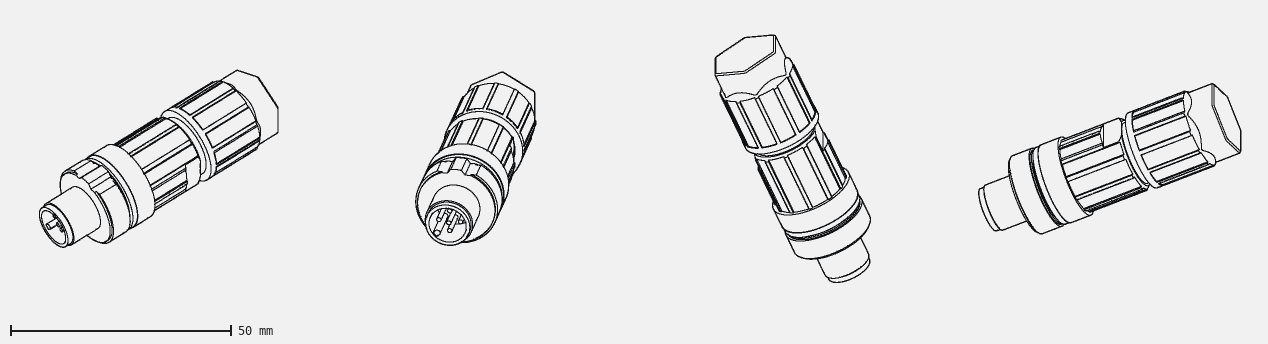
import cadquery as cq
import math

LENGTH = 60.0
OVERLAP = 0.6

TUBE_R = 5.5
TIP_R = 5.15
TIP_LENGTH = 1.45
BORE_R = 4.3
BORE_DEPTH = 9.0
PIN_R = 0.51
PIN_OFFSET = 2.5
PIN_RECESS = 2.2
CENTER_PIN_RECESS = 1.2
KEY_R = 0.65
KEY_RECESS = 0.6

NUT_DIAMETER = 19.0
NUT_R = NUT_DIAMETER / 2
NUT_LIP_R = 9.0
NUT_FRONT = 9.25
NUT_RIM_FRONT = 9.8
NUT_RIM_BACK = 14.7
NUT_BACK = 15.05
TOOTH_FLOOR = 8.35
TOOTH_TOP_WIDTH = 2.35
TOOTH_BASE_WIDTH = 4.15
NECK_R = 8.2
COLLAR_LIP_R = 9.35
COLLAR_LIP_FRONT = 15.6
COLLAR_FRONT = 16.9
COLLAR_BACK = 21.95

BODY_R = 8.8
BODY_BACK = 36.95
BODY_CHAMFER_LENGTH = 0.7
BODY_CHAMFER_DEPTH = 0.9
FLAT_ACROSS = 15.0
FLAT_FRONT_INNER = 32.45
FLAT_FRONT_OUTER = 32.0

CAP_NECK_R = 7.4
CAP_DIAMETER = 18.3
CAP_R = CAP_DIAMETER / 2
CAP_FRONT = 38.7
CAP_PANEL_FRONT = 40.3
CAP_CONE_FRONT = 52.9
HEX_FILLET = 0.9
HEX_END_CHAMFER = 0.35

RIB_WIDTH = 0.9
STEEP_RIB_WIDTH = 1.0
SHALLOW_RIB_ANGLE = 29.8
BODY_STEEP_RIB_ANGLE = 57.4
CAP_STEEP_RIB_ANGLE = 59.4
BODY_PANEL_DEPTH = 0.3
CAP_PANEL_DEPTH = 0.25
PANEL_CLEARANCE = 0.6


def cylinder(radius, start, end, x=0.0, z=0.0):
    """Cylinder parallel to Y from start to end."""
    axis_start = cq.Vector(x, start, z)
    return cq.Workplane(cq.Solid.makeCylinder(radius, end - start, axis_start, cq.Vector(0, 1, 0)))


def prism(points, start, end):
    """Polygon of (x, z) points extruded along Y from start to end."""
    sketch = cq.Workplane("XZ", origin=(0, start, 0)).polyline(points).close()
    return sketch.extrude(start - end)


def at_angle(radius, angle):
    """Point (x, z) on a circle, with the angle in degrees measured up from +X."""
    return radius * math.cos(math.radians(angle)), radius * math.sin(math.radians(angle))


def angled_rib(radius, angle, width, start, end):
    """Rib in the +X +Z quarter: radial upper wall, lower wall along Z, the moulding direction."""
    half_angle = math.degrees(math.asin(width / 2 / radius))
    inner_r = radius - 2 * PANEL_CLEARANCE
    upper = angle + half_angle
    lower_x, lower_z = at_angle(radius, angle - half_angle)
    outline = [
        at_angle(inner_r, upper),
        at_angle(radius, upper),
        at_angle(radius + PANEL_CLEARANCE, angle),
        (lower_x, lower_z),
        (lower_x, inner_r * lower_z / radius - PANEL_CLEARANCE),
    ]
    return prism(outline, start, end)


def panels(radius, depth, steep_rib_angle, start, end):
    """Recesses between the twelve ribs of a ribbed section."""
    ring = cylinder(radius + PANEL_CLEARANCE, start, end).cut(cylinder(radius - depth, start, end))
    reach = 2 * (radius + 2 * PANEL_CLEARANCE)
    middle = (start + end) / 2
    for size_x, size_z in ((reach, RIB_WIDTH), (RIB_WIDTH, reach)):
        rib_pair = cq.Workplane().box(size_x, end - start, size_z)
        ring = ring.cut(rib_pair.translate((0, middle, 0)))
    for angle, width in ((SHALLOW_RIB_ANGLE, RIB_WIDTH), (steep_rib_angle, STEEP_RIB_WIDTH)):
        rib = angled_rib(radius, angle, width, start, end)
        pair = rib.union(rib.mirror("YZ"))
        ring = ring.cut(pair).cut(pair.mirror("XY"))
    return ring


def make_turned_parts():
    """Everything round, revolved from one half profile of (radius, y) points."""
    cone_tip_r = FLAT_ACROSS / 2 - OVERLAP
    cone_back = CAP_CONE_FRONT + CAP_R - cone_tip_r
    profile = [
        (0, 0),
        (TIP_R, 0),
        (TIP_R, TIP_LENGTH),
        (TUBE_R, TIP_LENGTH),
        (TUBE_R, NUT_FRONT),
        (NUT_LIP_R, NUT_FRONT),
        (NUT_LIP_R, NUT_RIM_FRONT),
        (NUT_R, NUT_RIM_FRONT),
        (NUT_R, NUT_RIM_BACK),
        (NUT_LIP_R, NUT_RIM_BACK),
        (NUT_LIP_R, NUT_BACK),
        (NECK_R, NUT_BACK),
        (NECK_R, COLLAR_LIP_FRONT),
        (COLLAR_LIP_R, COLLAR_LIP_FRONT),
        (COLLAR_LIP_R, COLLAR_FRONT),
        (NUT_R, COLLAR_FRONT),
        (NUT_R, COLLAR_BACK),
        (BODY_R, COLLAR_BACK),
        (BODY_R, BODY_BACK - BODY_CHAMFER_LENGTH),
        (BODY_R - BODY_CHAMFER_DEPTH, BODY_BACK),
        (CAP_NECK_R, BODY_BACK),
        (CAP_NECK_R, CAP_FRONT),
        (CAP_R, CAP_FRONT),
        (CAP_R, CAP_CONE_FRONT),
        (cone_tip_r, cone_back),
        (0, cone_back),
    ]
    return cq.Workplane("XY").polyline(profile).close().revolve(360, (0, 0), (0, 1))


def make_hex_end():
    """Hexagon with flats facing +X and -X, rounded corners and a chamfered end."""
    corner_r = FLAT_ACROSS / 2 / math.cos(math.pi / 6)
    corner_angles = [math.radians(30 + 60 * i) for i in range(6)]
    corners = [(corner_r * math.cos(a), corner_r * math.sin(a)) for a in corner_angles]
    hexagon = prism(corners, CAP_CONE_FRONT - OVERLAP, LENGTH)
    return hexagon.edges("|Y").fillet(HEX_FILLET).faces(">Y").chamfer(HEX_END_CHAMFER)


def nut_notches():
    """Cutter that lowers the top of the nut to the notch floor."""
    slab = cq.Workplane().box(2 * NUT_R, NUT_BACK - NUT_FRONT, NUT_R - TOOTH_FLOOR)
    return slab.translate((0, (NUT_FRONT + NUT_BACK) / 2, (NUT_R + TOOTH_FLOOR) / 2))


def nut_tooth():
    """Tooth spanning the full nut width, topped by the nut's outer radius."""
    half_base = TOOTH_BASE_WIDTH / 2
    half_top = TOOTH_TOP_WIDTH / 2
    outline = [
        (-half_base, TOOTH_FLOOR - OVERLAP),
        (-half_base, TOOTH_FLOOR),
        (-half_top, NUT_R),
        (half_top, NUT_R),
        (half_base, TOOTH_FLOOR),
        (half_base, TOOTH_FLOOR - OVERLAP),
    ]
    return prism(outline, NUT_FRONT, NUT_BACK).intersect(cylinder(NUT_R, NUT_FRONT, NUT_BACK))


def wrench_flat(side):
    """Cutter for one wrench flat with a sloped front shoulder; side is +1 or -1."""
    inner = FLAT_ACROSS / 2
    outline = [
        (side * inner, FLAT_FRONT_INNER),
        (side * BODY_R, FLAT_FRONT_OUTER),
        (side * BODY_R, BODY_BACK),
        (side * inner, BODY_BACK),
    ]
    return cq.Workplane("XY").polyline(outline).close().extrude(BODY_R, both=True)


def tube_contents():
    """Five contact pins and the coding key standing in the bore."""
    contents = cylinder(PIN_R, CENTER_PIN_RECESS, BORE_DEPTH)
    for x, z in ((1, 0), (-1, 0), (0, 1), (0, -1)):
        contents = contents.union(
            cylinder(PIN_R, PIN_RECESS, BORE_DEPTH, x * PIN_OFFSET, z * PIN_OFFSET)
        )
    key = cylinder(KEY_R, KEY_RECESS, BORE_DEPTH, -PIN_OFFSET, -PIN_OFFSET)
    web = cq.Workplane().box(2 * KEY_R, BORE_DEPTH - KEY_RECESS, 2 * KEY_R)
    web = web.translate((0, (KEY_RECESS + BORE_DEPTH) / 2, -PIN_OFFSET * math.sqrt(2) - KEY_R))
    web = web.rotate((0, 0, 0), (0, 1, 0), 45)
    key = key.union(web).intersect(cylinder(TIP_R, KEY_RECESS, BORE_DEPTH))
    return contents.union(key)


result = make_turned_parts().union(make_hex_end())
result = result.cut(nut_notches()).union(nut_tooth())
result = result.cut(panels(BODY_R, BODY_PANEL_DEPTH, BODY_STEEP_RIB_ANGLE, COLLAR_BACK, BODY_BACK))
result = result.cut(panels(CAP_R, CAP_PANEL_DEPTH, CAP_STEEP_RIB_ANGLE, CAP_PANEL_FRONT, LENGTH))
for side in (1, -1):
    result = result.cut(wrench_flat(side))
result = result.cut(cylinder(BORE_R, 0, BORE_DEPTH)).union(tube_contents())